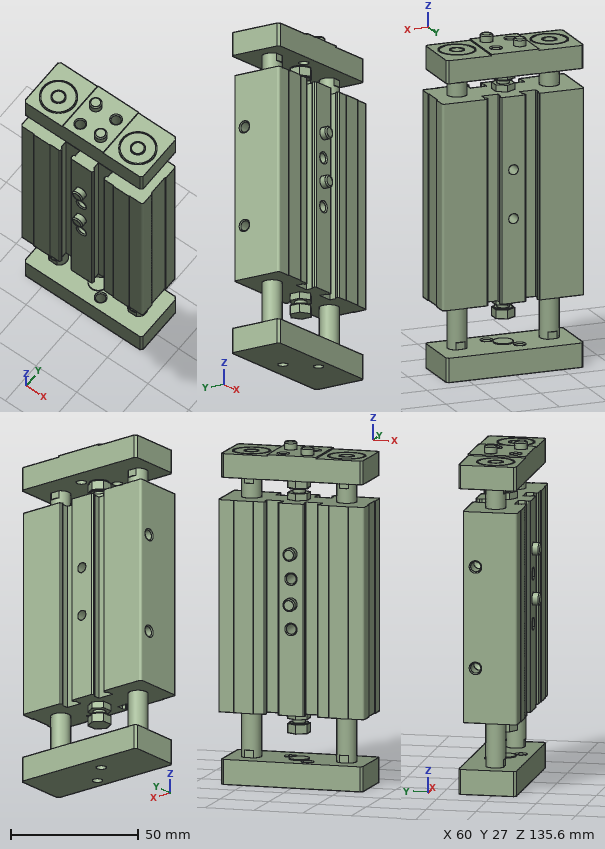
import cadquery as cq
import math


plate_width = 58.0
plate_thickness = 10.0
plate_front = -10.0
plate_back = 13.0
plate_depth = plate_back - plate_front
plate_middle_y = (plate_front + plate_back) / 2
plate_corner = 1.0
pad_width = 20.1
pad_height = 0.5
ring_groove_diameter = 15.0
ring_groove_inner_diameter = 14.0
center_groove_diameter = 6.0
center_groove_inner_diameter = 5.0
stop_disc_diameter = 8.0
stop_disc_height = 0.4

rod_diameter = 8.0
rod_spacing = 39.0
rod_flat_size = 7.0
rod_flat_height = 3.0

housing_width = 60.0
housing_length = 84.8
housing_half_depth = 11.0
housing_corner = 1.0
strip_height = 0.3
slot_inner_x = 5.4
slot_outer_x = 10.6
slot_undercut = 0.8
slot_lip = 1.5
slot_depth = 5.0
slot_edge = 0.5
label_groove_width = 9.0
label_groove_depth = 0.4

pitch = 10.0
hole_diameter = 4.1
hole_mouth_diameter = 5.0
pin_diameter = 5.0
pin_height = 3.0
pin_depth = 5.0
pin_chamfer = 0.5
first_pin_drop = 20.1
port_spacing = 40.7
port_y = 6.0
port_depth = 6.8
drill_tip_angle = 118

hex_size = 8.0
head_height = 4.1
washer_face_diameter = 7.5
washer_face_height = 0.4
nut_height = 2.7
stud_diameter = 5.0
stud_depth = 10.0

overall_height = 135.6
lower_gap = 19.0
housing_bottom = plate_thickness + lower_gap
housing_top = housing_bottom + housing_length
housing_middle = (housing_bottom + housing_top) / 2
pad_top = overall_height - pin_height
top_plate_bottom = pad_top - plate_thickness
top_plate_shoulder = pad_top - pad_height
bolt_reach = top_plate_bottom - stop_disc_height - housing_top

rod_x = rod_spacing / 2
rod_positions = [(-rod_x, 0), (rod_x, 0)]
pin_heights = [housing_top - first_pin_drop - pitch * step for step in (0, 2)]
through_hole_heights = [z - pitch for z in pin_heights]
plate_pin_positions = [(-pitch / 2, pitch / 2), (pitch / 2, -pitch / 2)]
plate_hole_positions = [(-pitch / 2, -pitch / 2), (pitch / 2, pitch / 2)]


def cylinder(origin, axis, diameter, length):
    """Solid cylinder that starts at origin and grows along axis."""
    return cq.Workplane(cq.Solid.makeCylinder(diameter / 2, length, cq.Vector(*origin), cq.Vector(*axis)))


def cone(origin, axis, start_diameter, end_diameter, length):
    """Solid cone frustum that starts at origin and grows along axis."""
    return cq.Workplane(
        cq.Solid.makeCone(start_diameter / 2, end_diameter / 2, length, cq.Vector(*origin), cq.Vector(*axis))
    )


def tapered_sink(origin, axis, mouth_diameter, floor_diameter):
    """Cutter for a 45 degree countersink whose mouth is at origin."""
    return cone(origin, axis, mouth_diameter, floor_diameter, (mouth_diameter - floor_diameter) / 2)


def threaded_hole(origin, axis, length):
    """Cutter for a core hole with a countersunk mouth at origin."""
    mouth = tapered_sink(origin, axis, hole_mouth_diameter, hole_diameter)
    return cylinder(origin, axis, hole_diameter, length).union(mouth)


def ring_groove(mouth, outer_diameter, inner_diameter):
    """Cutter for a ring groove with an upright outer wall and a 45 degree inner wall."""
    down = (0, 0, -1)
    depth = (outer_diameter - inner_diameter) / 2
    core = cone(mouth, down, inner_diameter, outer_diameter, depth)
    return cylinder(mouth, down, outer_diameter, depth).cut(core)


def plate_blank(bottom):
    """End plate with chamfered upright corners."""
    return (
        cq.Workplane("XY", origin=(0, plate_middle_y, bottom))
        .rect(plate_width, plate_depth)
        .extrude(plate_thickness)
        .edges("|Z")
        .chamfer(plate_corner)
    )


def make_top_plate():
    plate = plate_blank(top_plate_bottom)
    shoulder_width = (plate_width - pad_width) / 2
    shoulders = (
        cq.Workplane("XY", origin=(0, plate_middle_y, top_plate_shoulder))
        .pushPoints([(side * (pad_width + shoulder_width) / 2, 0) for side in (-1, 1)])
        .rect(shoulder_width, plate_depth)
        .extrude(pad_height)
    )
    plate = plate.cut(shoulders)
    for x, y in plate_pin_positions:
        plate = plate.cut(cylinder((x, y, pad_top), (0, 0, -1), pin_diameter, pin_depth))
    for x, y in plate_hole_positions:
        plate = plate.cut(threaded_hole((x, y, pad_top), (0, 0, -1), plate_thickness))
    return plate.union(cylinder((0, 0, top_plate_bottom), (0, 0, -1), stop_disc_diameter, stop_disc_height))


def make_bottom_plate():
    plate = plate_blank(0)
    for x, y in plate_pin_positions:
        plate = plate.cut(threaded_hole((x, y, plate_thickness), (0, 0, -1), plate_thickness))
    return plate.union(cylinder((0, 0, plate_thickness), (0, 0, 1), stop_disc_diameter, stop_disc_height))


def make_rod(x):
    """Guide rod between the plates, with a pair of wrench flats at each end."""
    length = top_plate_bottom - plate_thickness
    rod = cylinder((x, 0, plate_thickness), (0, 0, 1), rod_diameter, length)
    for middle in (plate_thickness + rod_flat_height / 2, top_plate_bottom - rod_flat_height / 2):
        ring = cq.Workplane("XY").box(2 * rod_diameter, 2 * rod_diameter, rod_flat_height)
        core = cq.Workplane("XY").box(2 * rod_diameter, rod_flat_size, rod_flat_height)
        rod = rod.cut(ring.cut(core).translate((x, 0, middle)))
    return rod


def make_yoke():
    """Both end plates and the two guide rods that join them."""
    yoke = make_top_plate().union(make_bottom_plate())
    for x, y in rod_positions:
        yoke = yoke.union(make_rod(x))
        mouth = (x, y, top_plate_shoulder)
        yoke = yoke.cut(ring_groove(mouth, ring_groove_diameter, ring_groove_inner_diameter))
        yoke = yoke.cut(ring_groove(mouth, center_groove_diameter, center_groove_inner_diameter))
    return yoke


def slot_cutter():
    """Cutter for the right front slot: chamfered mouth, undercut on both sides below the lips."""
    face = -housing_half_depth
    flank = face + strip_height
    floor = face + slot_depth
    lip_inside = face + slot_lip
    return (
        cq.Workplane("XY", origin=(0, 0, housing_bottom))
        .moveTo(slot_inner_x - slot_edge, face)
        .lineTo(slot_inner_x, face + slot_edge)
        .lineTo(slot_inner_x, lip_inside)
        .lineTo(slot_inner_x - slot_undercut, lip_inside + slot_undercut)
        .lineTo(slot_inner_x - slot_undercut, floor)
        .lineTo(slot_outer_x + slot_undercut, floor)
        .lineTo(slot_outer_x + slot_undercut, lip_inside + slot_undercut)
        .lineTo(slot_outer_x, lip_inside)
        .lineTo(slot_outer_x, flank + slot_edge)
        .lineTo(slot_outer_x + slot_edge, flank)
        .lineTo(slot_outer_x + slot_edge, face)
        .close()
        .extrude(housing_length)
    )


def make_housing():
    half_width = housing_width / 2
    housing = (
        cq.Workplane("XY", origin=(0, 0, housing_bottom))
        .moveTo(0, strip_height / 2)
        .rect(housing_width, 2 * housing_half_depth - strip_height)
        .extrude(housing_length)
        .edges("|Z")
        .fillet(housing_corner)
    )

    strip_y = -housing_half_depth + strip_height / 2
    strips = [(-rod_x, rod_diameter), (0, 2 * slot_outer_x), (rod_x, rod_diameter)]
    for x, width in strips:
        strip = cq.Workplane("XY").box(width, strip_height, housing_length)
        housing = housing.union(strip.translate((x, strip_y, housing_middle)))

    front_slot = slot_cutter()
    back_slot = front_slot.mirror("XZ")
    for slot in (front_slot, back_slot):
        housing = housing.cut(slot).cut(slot.mirror("YZ"))

    groove = cq.Workplane("XY").box(label_groove_depth, label_groove_width, housing_length)
    housing = housing.cut(groove.translate((half_width - label_groove_depth / 2, 0, housing_middle)))

    for x, y in rod_positions:
        housing = housing.cut(cylinder((x, y, housing_bottom), (0, 0, 1), rod_diameter, housing_length))

    for z in pin_heights:
        housing = housing.cut(cylinder((0, -housing_half_depth, z), (0, 1, 0), pin_diameter, pin_depth))
    for z in through_hole_heights:
        housing = housing.cut(threaded_hole((0, -housing_half_depth, z), (0, 1, 0), 2 * housing_half_depth))

    tip_length = hole_diameter / 2 / math.tan(math.radians(drill_tip_angle / 2))
    for z in (housing_middle - port_spacing / 2, housing_middle + port_spacing / 2):
        tip = cone((-half_width + port_depth, port_y, z), (1, 0, 0), hole_diameter, 0, tip_length)
        port = threaded_hole((-half_width, port_y, z), (1, 0, 0), port_depth).union(tip)
        housing = housing.cut(port)

    for z, inward in ((housing_top, -1), (housing_bottom, 1)):
        housing = housing.cut(cylinder((0, 0, z), (0, 0, inward), stud_diameter, stud_depth))
    return housing


def hexagon(bottom, height):
    """Hexagonal prism with two of its flats facing along X."""
    across_corners = hex_size / math.cos(math.radians(30))
    prism = cq.Workplane("XY").polygon(6, across_corners).extrude(height)
    return prism.rotate((0, 0, 0), (0, 0, 1), 30).translate((0, 0, bottom))


def make_upper_bolt():
    """Stud with a hexagonal head whose underside carries a round washer face."""
    head_bottom = housing_top + bolt_reach - head_height
    washer_face = cylinder((0, 0, head_bottom), (0, 0, 1), washer_face_diameter, washer_face_height)
    head = hexagon(head_bottom + washer_face_height, head_height - washer_face_height).union(washer_face)
    stud_length = stud_depth + bolt_reach - head_height
    return head.union(cylinder((0, 0, housing_top - stud_depth), (0, 0, 1), stud_diameter, stud_length))


def make_upper_nut():
    nut = hexagon(housing_top, nut_height)
    return nut.cut(cylinder((0, 0, housing_top), (0, 0, 1), stud_diameter, nut_height))


def at_both_ends(upper_part):
    """The part at the top of the housing and its mirror image at the bottom."""
    lower_part = upper_part.mirror("XY", (0, 0, housing_middle))
    return [upper_part.val(), lower_part.val()]


def make_pin(seat, outward):
    """Locating pin standing out of a face at seat, with a chamfered tip."""
    length = pin_depth + pin_height
    pin = cq.Workplane("XY").circle(pin_diameter / 2).extrude(length).faces(">Z").chamfer(pin_chamfer)
    plane = cq.Plane(origin=seat, normal=outward)
    return pin.translate((0, 0, -pin_depth)).val().moved(cq.Location(plane))


housing = make_housing()
yoke = make_yoke()
stop_bolts = at_both_ends(make_upper_bolt())
lock_nuts = at_both_ends(make_upper_nut())
housing_pins = [make_pin((0, -housing_half_depth, z), (0, -1, 0)) for z in pin_heights]
plate_pins = [make_pin((x, y, pad_top), (0, 0, 1)) for x, y in plate_pin_positions]

result = cq.Compound.makeCompound(
    [housing.val(), yoke.val(), *stop_bolts, *lock_nuts, *housing_pins, *plate_pins]
)